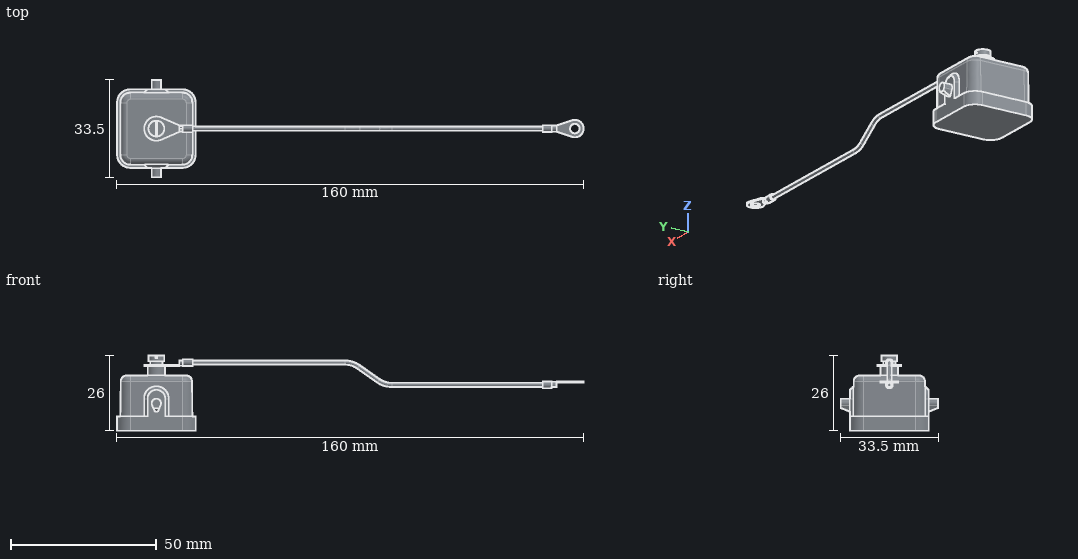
import cadquery as cq
import math


rim_width = 27.0
rim_height = 5.0
rim_corner_radius = 4.6
body_width = 24.8
body_top = 19.0
body_corner_radius = 3.5
body_draft = 0.7
body_top_fillet = 2.0

pad_width = 6.0
pad_arch_z = 11.0
pad_depth = 2.4
pad_taper = 45
pin_span = 33.5
pin_diameter = 3.2
pin_z = 9.5
pin_rib_width = 1.5
pin_rib_foot_z = 6.5

screw_top = 26.0
stud_diameter = 6.0
stud_top = 22.2
neck_diameter = 4.3
head_diameter = 5.5
head_height = 2.0
slot_width = 0.5
slot_depth = 1.0

plate_thickness = 0.5
crimp_diameter = 2.4
trough_diameter = 2.2
near_eye_diameter = 8.3
near_trough_start = 7.8
near_crimp_start = 9.0
near_crimp_end = 12.5
far_eye_diameter = 6.0
far_hole_diameter = 3.2
far_trough_start = 6.2
far_crimp_start = 8.0
far_crimp_end = 11.0

overall_length = 160
cable_diameter = 1.5
cable_drop = 7.7
bend_start = 64.6
bend_radius = 8.0
bend_angle = 35

rim_face = rim_width / 2
far_eye_x = overall_length - rim_face - far_eye_diameter / 2
cable_z = stud_top + crimp_diameter / 2
far_cable_z = cable_z - cable_drop


def disc(diameter, bottom, top):
    """Vertical cylinder on the screw axis."""
    return cq.Workplane("XY").workplane(offset=bottom).circle(diameter / 2).extrude(top - bottom)


def rod_along_x(diameter, start, end, z):
    """Horizontal cylinder along X."""
    return cq.Workplane("YZ", origin=(start, 0, z)).circle(diameter / 2).extrude(end - start)


def make_cap():
    rim = cq.Workplane("XY").rect(rim_width, rim_width).extrude(rim_height)
    rim = rim.edges("|Z").fillet(rim_corner_radius)
    body_outline = cq.Sketch().rect(body_width, body_width).vertices().fillet(body_corner_radius)
    body = (
        cq.Workplane("XY")
        .workplane(offset=rim_height)
        .placeSketch(body_outline)
        .extrude(body_top - rim_height, taper=body_draft)
    )
    body = body.faces(">Z").edges().fillet(body_top_fillet)
    return rim.union(body)


def make_pin_side():
    """Arched pad, pin and the rib below the pin, on the -Y side."""
    face = cq.Workplane("XZ", origin=(0, -rim_face, 0))
    radius = pad_width / 2
    pad = (
        face.moveTo(-radius, 0)
        .lineTo(-radius, pad_arch_z)
        .threePointArc((0, pad_arch_z + radius), (radius, pad_arch_z))
        .lineTo(radius, 0)
        .close()
        .extrude(-pad_depth, taper=-pad_taper)
    )
    pad_zone = cq.Workplane("XY").workplane(offset=rim_height / 2).rect(rim_width, rim_width).extrude(body_top)
    pad = pad.intersect(pad_zone)

    pin_end = pin_span / 2
    pin = face.center(0, pin_z).circle(pin_diameter / 2).extrude(pin_end - rim_face)

    pin_radius = pin_diameter / 2
    foot_radius = pin_rib_width / 2
    foot_drop = pin_z - pin_rib_foot_z - foot_radius
    lean = math.asin((pin_radius - foot_radius) / foot_drop)
    side_x = math.cos(lean)
    side_z = -math.sin(lean)
    rib = (
        face.center(0, pin_z)
        .moveTo(-pin_radius * side_x, pin_radius * side_z)
        .lineTo(-foot_radius * side_x, foot_radius * side_z - foot_drop)
        .threePointArc(
            (0, -foot_drop - foot_radius),
            (foot_radius * side_x, foot_radius * side_z - foot_drop),
        )
        .lineTo(pin_radius * side_x, pin_radius * side_z)
        .close()
        .extrude(pin_end - rim_face)
    )
    below_rib = (
        cq.Workplane("YZ")
        .polyline([
            (-rim_face, pin_rib_foot_z),
            (-pin_end, pin_z - pin_radius),
            (-pin_end, pin_rib_foot_z),
        ])
        .close()
        .extrude(pin_radius, both=True)
    )
    rib = rib.cut(below_rib)
    return pad.union(pin).union(rib)


def make_screw():
    head_bottom = screw_top - head_height
    screw = disc(stud_diameter, body_top, stud_top)
    screw = screw.union(disc(neck_diameter, stud_top, head_bottom))
    screw = screw.union(disc(head_diameter, head_bottom, screw_top))
    slot = (
        cq.Workplane("XY")
        .workplane(offset=screw_top - slot_depth)
        .rect(slot_width, head_diameter)
        .extrude(slot_depth)
    )
    return screw.cut(slot)


def make_lug(eye_diameter, trough_start, crimp_start, crimp_end):
    """Lug lying on Z = 0 with its eye on the Z axis and its barrel toward +X."""
    eye_radius = eye_diameter / 2
    half_width = trough_diameter / 2
    barrel_z = crimp_diameter / 2

    corner_angle = math.atan2(half_width, trough_start)
    corner_distance = math.hypot(trough_start, half_width)
    tangent_angle = corner_angle + math.acos(eye_radius / corner_distance)
    tangent_x = eye_radius * math.cos(tangent_angle)
    tangent_y = eye_radius * math.sin(tangent_angle)
    plate = (
        cq.Workplane("XY")
        .moveTo(trough_start, -half_width)
        .lineTo(tangent_x, -tangent_y)
        .threePointArc((-eye_radius, 0), (tangent_x, tangent_y))
        .lineTo(trough_start, half_width)
        .close()
        .extrude(plate_thickness)
    )
    barrel = rod_along_x(crimp_diameter, crimp_start, crimp_end, barrel_z)
    trough = rod_along_x(trough_diameter, trough_start, crimp_start, barrel_z)
    trough = trough.cut(rod_along_x(cable_diameter, trough_start, crimp_start, barrel_z))
    opening = (
        cq.Workplane("XY")
        .workplane(offset=barrel_z + cable_diameter / 2)
        .center((trough_start + crimp_start) / 2, 0)
        .rect(crimp_start - trough_start, crimp_diameter)
        .extrude(crimp_diameter)
    )
    return plate.union(trough.cut(opening)).union(barrel)


def make_far_lug():
    """Lug with an open eye, turned over and facing back along the cable."""
    lug = make_lug(far_eye_diameter, far_trough_start, far_crimp_start, far_crimp_end)
    lug = lug.cut(disc(far_hole_diameter, 0, plate_thickness))
    lug = lug.rotate((0, 0, 0), (0, 1, 0), 180)
    return lug.translate((far_eye_x, 0, far_cable_z + crimp_diameter / 2))


def make_cable():
    """Straight run, S-bend down, and a second straight run."""
    angle = math.radians(bend_angle)
    arc_run = bend_radius * math.sin(angle)
    arc_drop = bend_radius * (1 - math.cos(angle))
    mid_run = bend_radius * math.sin(angle / 2)
    mid_drop = bend_radius * (1 - math.cos(angle / 2))
    slope_run = (cable_drop - 2 * arc_drop) / math.tan(angle)
    slope_end = bend_start + arc_run + slope_run
    bend_end = slope_end + arc_run
    path = (
        cq.Workplane("XZ")
        .moveTo(near_crimp_start, cable_z)
        .lineTo(bend_start, cable_z)
        .threePointArc(
            (bend_start + mid_run, cable_z - mid_drop),
            (bend_start + arc_run, cable_z - arc_drop),
        )
        .lineTo(slope_end, far_cable_z + arc_drop)
        .threePointArc((bend_end - mid_run, far_cable_z + mid_drop), (bend_end, far_cable_z))
        .lineTo(far_eye_x - far_crimp_start, far_cable_z)
    )
    profile = cq.Workplane("YZ", origin=(near_crimp_start, 0, cable_z)).circle(cable_diameter / 2)
    return profile.sweep(path)


pin_side = make_pin_side()
near_lug = make_lug(near_eye_diameter, near_trough_start, near_crimp_start, near_crimp_end)

result = (
    make_cap()
    .union(pin_side)
    .union(pin_side.mirror("XZ"))
    .union(make_screw())
    .union(near_lug.translate((0, 0, stud_top)))
    .union(make_cable())
    .union(make_far_lug())
)